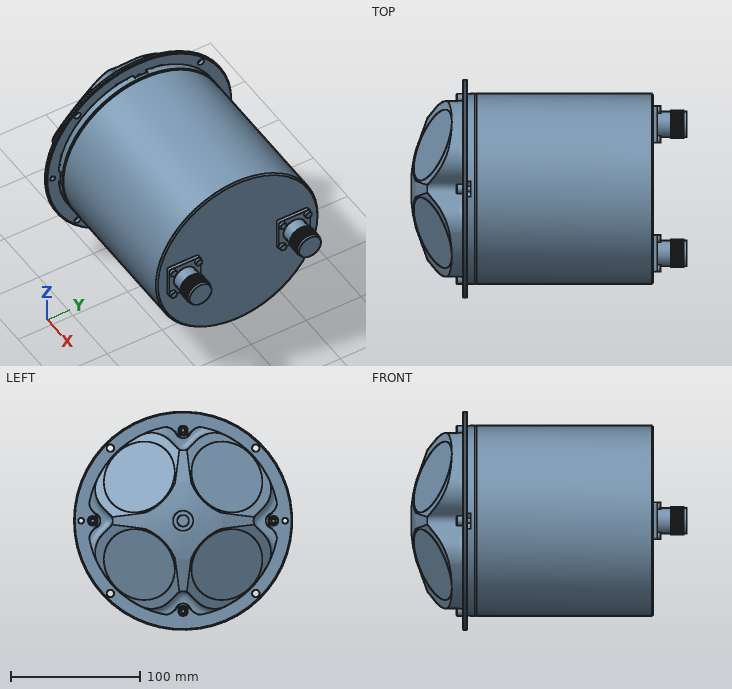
import cadquery as cq
import math

TOTAL_LENGTH = 213.0

BODY_RADIUS = 73.8
BODY_END = 187.0
BODY_END_CHAMFER = 1.3
SEAM_START = 49.0
SEAM_WIDTH = 1.5
SEAM_DEPTH = 0.5

FLANGE_RADIUS = 84.45
FLANGE_FRONT = 39.8
FLANGE_BACK = 43.5
FLANGE_CHAMFER = 0.9
MOUNT_HOLE_DIAMETER = 5.5
MOUNT_CIRCLE_RADIUS = 79.5
PIN_HOLE_DIAMETER = 4.3
PIN_OFFSET = 78.8

LOBE_HALF_WIDTH = 36.6
LOBE_CORNER_RADIUS = 20.0
VALLEY_RADIUS = 6.2
FOOT_RADIUS = 6.0
BASE_THICKNESS = 4.3
WINDOW_HALF_WIDTH = 44.0
WINDOW_CORNER_RADIUS = 8.5
WINDOW_TAB_RADIUS = 8.3
CROWN_RADIUS = 30.0
CROWN_CURVATURE = 117.2
CONE_ANGLE = 20.0

NOSE_FLAT_RADIUS = 10.0
NOSE_RING_RADIUS = 7.77
NOSE_RING_DEPTH = 0.2
NOSE_HOLE_DIAMETER = 9.0
NOSE_HOLE_DEPTH = 1.3

FACE_TILT = 30.0
FACE_DIAMETER = 58.5
FACE_RECESS = 0.2
FACE_CENTER_X = 16.6
FACE_CENTER_RADIUS = 48.0

SCREW_CIRCLE_RADIUS = 69.9
SCREW_HEAD_DIAMETER = 7.5
SCREW_HEAD_FRONT = 35.0
SCREW_HEAD_CHAMFER = 0.9
SOCKET_DIAMETER = 3.5
SOCKET_DEPTH = 2.5
SCREW_SHANK_DIAMETER = 4.0
NOTCH_WIDTH = 12.0
NOTCH_LENGTH = 2.8

CONNECTOR_OFFSET = 49.8
PLATE_SIZE = 28.8
PLATE_THICKNESS = 3.0
PLATE_CORNER_RADIUS = 2.0
PLATE_SCREW_PITCH = 23.0
PLATE_SCREW_DIAMETER = 5.5
PLATE_SCREW_HEIGHT = 2.8
BARREL_DIAMETER = 20.0
KNURL_DIAMETER = 21.5
KNURL_START = 200.5
KNURL_END = 210.5
KNURL_RING_GROOVES = 4
KNURL_FLUTES = 30
KNURL_GROOVE_WIDTH = 0.9

QUARTER_ANGLES = (0, 90, 180, 270)


def cylinder(x_start, x_end, radius, y=0.0, z=0.0):
    """Cylinder parallel to X."""
    return (
        cq.Workplane("YZ", origin=(x_start, y, z))
        .circle(radius)
        .extrude(x_end - x_start)
    )


def around_axis(shape):
    """Union of the shape and its three quarter-turn copies about X."""
    copies = [shape.rotate((0, 0, 0), (1, 0, 0), angle) for angle in QUARTER_ANGLES]
    combined = copies[0]
    for copy in copies[1:]:
        combined = combined.union(copy)
    return combined


def lobed_prism(x_start, x_end, half_width, corner_radius, valley_radius):
    """Diagonal cross cut off at the body radius, with rounded corners and valleys."""
    bar = cq.Workplane("XY").box(
        x_end - x_start, 2 * BODY_RADIUS, 2 * half_width, centered=(False, True, True)
    )
    cross = (
        bar.union(bar.rotate((0, 0, 0), (1, 0, 0), 90))
        .translate((x_start, 0, 0))
        .intersect(cylinder(x_start, x_end, BODY_RADIUS))
    )
    valley_limit = half_width + 0.2
    cross = cross.edges("|X").edges(
        cq.selectors.BoxSelector(
            (x_start, -valley_limit, -valley_limit),
            (x_end, valley_limit, valley_limit),
        )
    ).fillet(valley_radius)
    cross = cross.edges("|X").filter(
        lambda edge: math.hypot(edge.Center().y, edge.Center().z) > BODY_RADIUS - 0.02
    ).fillet(corner_radius)
    return cross.rotate((0, 0, 0), (1, 0, 0), 45)


def crown():
    """Solid of revolution under the dome: flat nose, spherical cap and cone."""
    apex = CROWN_CURVATURE - math.sqrt(CROWN_CURVATURE**2 - NOSE_FLAT_RADIUS**2)
    middle_radius = (NOSE_FLAT_RADIUS + CROWN_RADIUS) / 2
    middle_depth = CROWN_CURVATURE - math.sqrt(CROWN_CURVATURE**2 - middle_radius**2) - apex
    rim_depth = CROWN_CURVATURE - math.sqrt(CROWN_CURVATURE**2 - CROWN_RADIUS**2) - apex
    cone_depth = rim_depth + (BODY_RADIUS - CROWN_RADIUS) * math.tan(math.radians(CONE_ANGLE))
    return (
        cq.Workplane("XY")
        .moveTo(0, 0)
        .lineTo(0, NOSE_FLAT_RADIUS)
        .threePointArc((middle_depth, middle_radius), (rim_depth, CROWN_RADIUS))
        .lineTo(cone_depth, BODY_RADIUS)
        .lineTo(FLANGE_BACK + BASE_THICKNESS, BODY_RADIUS)
        .lineTo(FLANGE_BACK + BASE_THICKNESS, 0)
        .close()
        .revolve(360, (0, 0, 0), (1, 0, 0))
    )


def face_cutter():
    """Tool that planes one transducer face and sinks its disc."""
    plane = cq.Plane(
        origin=(FACE_CENTER_X, 0, FACE_CENTER_RADIUS),
        xDir=(0, 1, 0),
        normal=(-math.cos(math.radians(FACE_TILT)), 0, math.sin(math.radians(FACE_TILT))),
    )
    block = cq.Workplane(plane).rect(2 * BODY_RADIUS, 2 * BODY_RADIUS).extrude(BODY_RADIUS)
    disc = cq.Workplane(plane).circle(FACE_DIAMETER / 2).extrude(-FACE_RECESS)
    return block.union(disc).rotate((0, 0, 0), (1, 0, 0), 45)


def dome():
    lobes = lobed_prism(0, FLANGE_BACK, LOBE_HALF_WIDTH, LOBE_CORNER_RADIUS, VALLEY_RADIUS)
    base = cylinder(FLANGE_BACK, FLANGE_BACK + BASE_THICKNESS, FLANGE_RADIUS)
    footed = lobes.union(base)
    footed = footed.edges(
        cq.selectors.BoxSelector(
            (FLANGE_BACK - 0.02, -FLANGE_RADIUS, -FLANGE_RADIUS),
            (FLANGE_BACK + 0.02, FLANGE_RADIUS, FLANGE_RADIUS),
        )
    ).filter(
        lambda edge: edge.Length() < math.pi * BODY_RADIUS
    ).fillet(FOOT_RADIUS)
    shape = footed.intersect(crown())
    cutter = face_cutter()
    for angle in QUARTER_ANGLES:
        shape = shape.cut(cutter.rotate((0, 0, 0), (1, 0, 0), angle))
    shape = shape.cut(cylinder(0, NOSE_RING_DEPTH, NOSE_RING_RADIUS))
    return shape.cut(cylinder(0, NOSE_HOLE_DEPTH, NOSE_HOLE_DIAMETER / 2))


def flange():
    """Ring whose lobed window leaves a tab in each valley of the dome."""
    window = lobed_prism(
        FLANGE_FRONT, FLANGE_BACK, WINDOW_HALF_WIDTH, WINDOW_CORNER_RADIUS, WINDOW_TAB_RADIUS
    )
    ring = cylinder(FLANGE_FRONT, FLANGE_BACK, FLANGE_RADIUS).edges().chamfer(FLANGE_CHAMFER)
    ring = ring.cut(window)
    mount_hole = cylinder(
        FLANGE_FRONT, FLANGE_BACK, MOUNT_HOLE_DIAMETER / 2, z=MOUNT_CIRCLE_RADIUS
    ).rotate((0, 0, 0), (1, 0, 0), 45)
    ring = ring.cut(around_axis(mount_hole))
    for side in (-1, 1):
        ring = ring.cut(
            cylinder(FLANGE_FRONT, FLANGE_BACK, PIN_HOLE_DIAMETER / 2, y=side * PIN_OFFSET)
        )
    return ring


def body():
    shell = cylinder(FLANGE_BACK, BODY_END, BODY_RADIUS).edges(">X").chamfer(BODY_END_CHAMFER)
    seam = cylinder(SEAM_START, SEAM_START + SEAM_WIDTH, FLANGE_RADIUS).cut(
        cylinder(SEAM_START, SEAM_START + SEAM_WIDTH, BODY_RADIUS - SEAM_DEPTH)
    )
    return shell.cut(seam)


def screw_notch():
    """Round-bottomed notch behind the flange, open to the outside of the body."""
    notch_end = FLANGE_BACK + NOTCH_LENGTH
    opening = (
        cq.Workplane("XY", origin=(FLANGE_BACK, 0, SCREW_CIRCLE_RADIUS))
        .box(NOTCH_LENGTH, NOTCH_WIDTH, NOTCH_WIDTH, centered=(False, True, False))
    )
    pocket = cylinder(FLANGE_BACK, notch_end, NOTCH_WIDTH / 2, z=SCREW_CIRCLE_RADIUS).union(opening)
    shank = cylinder(FLANGE_BACK, notch_end, SCREW_SHANK_DIAMETER / 2, z=SCREW_CIRCLE_RADIUS)
    return pocket.cut(shank)


def clamp_screw():
    head = (
        cylinder(SCREW_HEAD_FRONT, FLANGE_FRONT, SCREW_HEAD_DIAMETER / 2, z=SCREW_CIRCLE_RADIUS)
        .edges("<X")
        .chamfer(SCREW_HEAD_CHAMFER)
    )
    socket = (
        cq.Workplane("YZ", origin=(SCREW_HEAD_FRONT, 0, SCREW_CIRCLE_RADIUS))
        .polygon(6, SOCKET_DIAMETER)
        .extrude(SOCKET_DEPTH)
    )
    return head.cut(socket)


def knurled_sleeve():
    """Sleeve crossed by ring grooves and lengthwise flutes down to the barrel surface."""
    sleeve = cylinder(KNURL_START, KNURL_END, KNURL_DIAMETER / 2)
    spacing = (KNURL_END - KNURL_START) / (KNURL_RING_GROOVES + 1)
    for index in range(1, KNURL_RING_GROOVES + 1):
        groove_start = KNURL_START + index * spacing - KNURL_GROOVE_WIDTH / 2
        groove_end = groove_start + KNURL_GROOVE_WIDTH
        groove = cylinder(groove_start, groove_end, KNURL_DIAMETER)
        sleeve = sleeve.cut(groove.cut(cylinder(groove_start, groove_end, BARREL_DIAMETER / 2)))
    flutes = (
        cq.Workplane("YZ", origin=(KNURL_START, 0, 0))
        .polarArray(KNURL_DIAMETER / 2, 0, 360, KNURL_FLUTES)
        .rect(KNURL_DIAMETER - BARREL_DIAMETER, KNURL_GROOVE_WIDTH)
        .extrude(KNURL_END - KNURL_START)
    )
    return sleeve.cut(flutes)


def connector():
    plate_back = BODY_END + PLATE_THICKNESS
    plate = (
        cq.Workplane("YZ", origin=(BODY_END, 0, 0))
        .rect(PLATE_SIZE, PLATE_SIZE)
        .extrude(PLATE_THICKNESS)
        .edges("|X")
        .fillet(PLATE_CORNER_RADIUS)
    )
    screws = (
        cq.Workplane("YZ", origin=(plate_back, 0, 0))
        .rect(PLATE_SCREW_PITCH, PLATE_SCREW_PITCH, forConstruction=True)
        .vertices()
        .circle(PLATE_SCREW_DIAMETER / 2)
        .extrude(PLATE_SCREW_HEIGHT)
    )
    barrel = cylinder(plate_back, TOTAL_LENGTH, BARREL_DIAMETER / 2)
    return plate.union(screws).union(barrel).union(knurled_sleeve())


result = body().union(dome()).cut(around_axis(screw_notch()))
result = result.union(flange()).union(around_axis(clamp_screw()))
for side in (-1, 1):
    result = result.union(connector().translate((0, side * CONNECTOR_OFFSET, 0)))